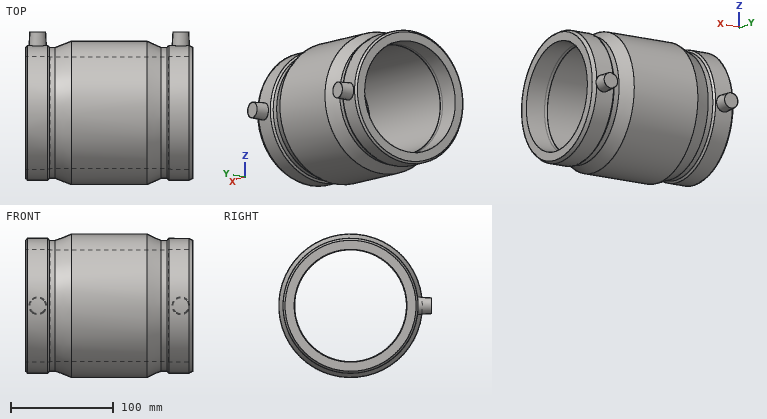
import cadquery as cq

length = 163.0
half_length = length / 2

body_diameter = 140.0
collar_diameter = 131.6
groove_diameter = 127.65

cone_top_inset = 44.7
left_cone_foot_inset = 28.8
right_cone_foot_inset = 31.0
left_groove_inset = 23.4
right_groove_inset = 25.4
left_chamfer_length = 2.0
right_chamfer_length = 4.0
collar_shoulder_length = 2.0

socket_diameter = 110.0
middle_bore_diameter = 108.9
taper_end_diameter = 109.3
socket_depth = 21.0
taper_length = 3.0

post_inset = 11.8
post_tip_y = 79.0
post_tip_diameter = 15.5
post_foot_diameter = 17.3
post_foot_y = 63.0


def outer_half(side, cone_foot_inset, groove_inset, chamfer_length):
    """Outer profile points (x, radius) of one half, from the body to the end face."""
    body_radius = body_diameter / 2
    collar_radius = collar_diameter / 2
    groove_radius = groove_diameter / 2
    inset_points = [
        (cone_top_inset, body_radius),
        (cone_foot_inset, groove_radius),
        (groove_inset, groove_radius),
        (groove_inset - collar_shoulder_length, collar_radius),
        (chamfer_length, collar_radius),
        (0, groove_radius),
    ]
    return [(side * (half_length - inset), radius) for inset, radius in inset_points]


def bore_half(side):
    """Bore profile points (x, radius) of one half, from the end face to the middle."""
    socket_radius = socket_diameter / 2
    taper_start_x = half_length - socket_depth
    step_x = taper_start_x - taper_length
    return [
        (side * half_length, socket_radius),
        (side * taper_start_x, socket_radius),
        (side * step_x, taper_end_diameter / 2),
        (side * step_x, middle_bore_diameter / 2),
    ]


def make_sleeve():
    left_outer = outer_half(-1, left_cone_foot_inset, left_groove_inset, left_chamfer_length)
    right_outer = outer_half(1, right_cone_foot_inset, right_groove_inset, right_chamfer_length)
    left_outline = left_outer + bore_half(-1)
    right_outline = right_outer + bore_half(1)
    outline = left_outline + right_outline[::-1]
    return cq.Workplane("XY").polyline(outline).close().revolve(360, (0, 0, 0), (1, 0, 0))


def make_post(x):
    """Solid tapered post whose foot is sunk into the collar wall."""
    tip_radius = post_tip_diameter / 2
    foot_radius = post_foot_diameter / 2
    profile = [
        (x, post_foot_y),
        (x + foot_radius, post_foot_y),
        (x + tip_radius, post_tip_y),
        (x, post_tip_y),
    ]
    return cq.Workplane("XY").polyline(profile).close().revolve(360, (x, 0, 0), (x, 1, 0))


result = make_sleeve()
for side in (-1, 1):
    result = result.union(make_post(side * (half_length - post_inset)))